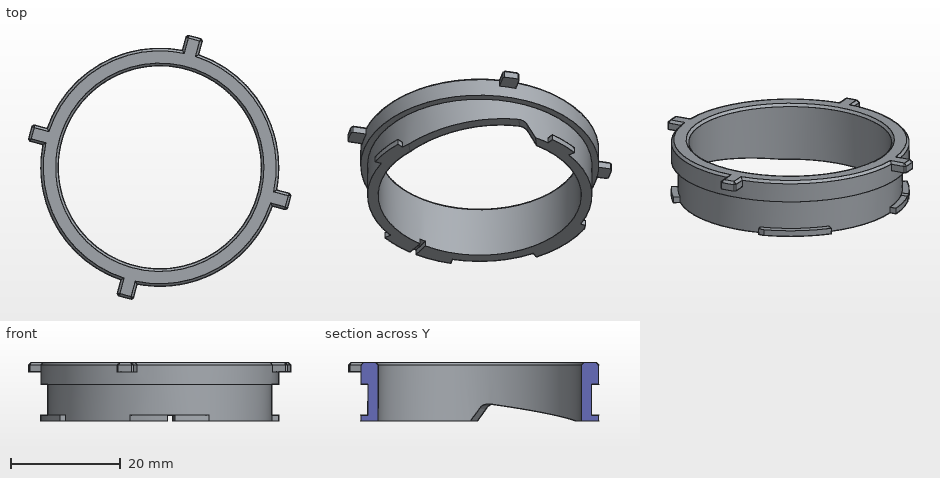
import cadquery as cq
import math

height = 10.75
bore_diameter = 37.0
sleeve_diameter = 40.9
flange_diameter = 43.4
flange_bottom = 6.75
edge_chamfer = 0.5

lug_width = 3.1
lug_bottom = 9.0
lug_angles_and_reaches = [(75, 24.6), (165, 24.45), (255, 24.6), (345, 24.45)]
lug_corner_chamfer = 0.3

tab_height = 1.1
lead_in_start = 177.2
lead_in_end = 180
lead_in_depth = 0.3
tab_spans = [(0, 18), (99, 114), (lead_in_start, 213), (255.5, 294.3)]
slot_height = 1.05
slot_span = (273.8, 277.3)

ramp_angle = 57
ramp_start = -11.65
ramp_peak = 9.5
ramp_end = 11.5
ramp_rise = 3.25
ramp_peak_radius = 1.45


def disc(diameter, bottom, top):
    return cq.Workplane("XY").workplane(offset=bottom).circle(diameter / 2).extrude(top - bottom)


def lug(angle, reach):
    bar = (
        cq.Workplane("XY")
        .box(reach, lug_width, height - lug_bottom, centered=(False, True, False))
        .translate((0, 0, lug_bottom))
        .intersect(disc(2 * reach, lug_bottom, height))
    )
    bar = bar.edges("|Z").edges(">X").chamfer(lug_corner_chamfer)
    bar = bar.faces(">Z").chamfer(edge_chamfer)
    return bar.rotate((0, 0, 0), (0, 0, 1), angle)


def sector(start, end, sector_height):
    half_section = cq.Workplane("XZ").rect(flange_diameter / 2, sector_height, centered=False)
    wedge = half_section.revolve(end - start, (0, 0), (0, 1))
    return wedge.rotate((0, 0, 0), (0, 0, 1), start)


def lead_in():
    tab_radius = flange_diameter / 2
    turn = math.radians(lead_in_end - lead_in_start)
    eased_radius = tab_radius - lead_in_depth
    sliver = (
        cq.Workplane("XY")
        .moveTo(tab_radius, 0)
        .lineTo(eased_radius * math.cos(turn), -eased_radius * math.sin(turn))
        .lineTo(tab_radius, -tab_radius * math.tan(turn))
        .close()
        .extrude(tab_height)
    )
    return sliver.rotate((0, 0, 0), (0, 0, 1), lead_in_end)


def ramp_recess():
    profile = cq.Workplane("YZ").polyline([(ramp_start, 0), (ramp_peak, ramp_rise), (ramp_end, 0)])
    recess = profile.close().extrude(flange_diameter / 2)
    recess = recess.edges(">Z").fillet(ramp_peak_radius)
    return recess.rotate((0, 0, 0), (0, 0, 1), ramp_angle)


body = disc(sleeve_diameter, 0, height)
body = body.union(disc(flange_diameter, flange_bottom, height).faces(">Z").chamfer(edge_chamfer))
for angle, reach in lug_angles_and_reaches:
    body = body.union(lug(angle, reach))
for start, end in tab_spans:
    body = body.union(sector(start, end, tab_height))
body = body.cut(lead_in())
body = body.cut(sector(*slot_span, slot_height))
body = body.cut(ramp_recess())
body = body.cut(disc(bore_diameter, 0, height))

rim_cone = cq.Workplane("XY").workplane(offset=height).circle(bore_diameter / 2 + edge_chamfer)
rim_cone = rim_cone.extrude(-edge_chamfer, taper=45)
result = body.cut(rim_cone)